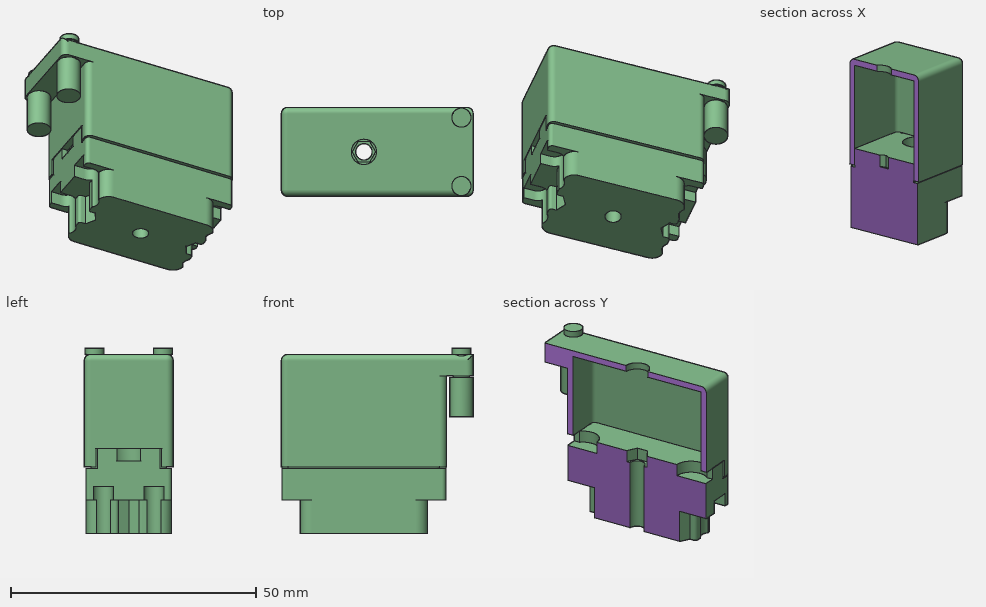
import cadquery as cq
import math


skirt_bottom = 6.8
skirt_top = 13.3
cover_bottom = 13.6
tongue_top = 17.3
cover_top = 36.5
flange_bottom = 32.1
total_height = 37.77

cover_length = 33.68
cover_width = 18.16
total_length = 39.12
cover_round = 1.3
cover_wall = 1.39
access_hole_diameter = 5.15
end_notch_width = 13.4
flange_end = total_length - cover_length / 2

screw_head_diameter = 3.9
screw_neck_diameter = 3.4
screw_neck_gap = 0.3
screw_post_diameter = 4.84
screw_post_bottom = 23.75
screw_x = flange_end - screw_post_diameter / 2
screw_y = 6.97
post_y = (cover_width - screw_post_diameter) / 2

skirt_length = 33.45
skirt_width = 17.5
small_round = 0.8
tongue_length = cover_length - 2 * cover_wall
tongue_width = cover_width - 2 * cover_wall
end_tab_width = 12.75
plug_length = 26.0
plug_round = 2.36
skirt_end = skirt_length / 2
plug_end = plug_length / 2

hole_diameter = 3.3
hex_flats = 4.16
recess_depth = 2.5
recess_floor = tongue_top - recess_depth

pocket_mouth_width = 4.82
pocket_radius = 3.36
pocket_mouth_length = 1.3
pocket_x = skirt_end - pocket_mouth_length - math.sqrt(pocket_radius**2 - (pocket_mouth_width / 2) ** 2)

slot_width = 4.05
slot_y = 5.17
slot_center_depth = 2.29
slot_top = 9.6
slot_x = skirt_end - slot_center_depth
notch_lip_round = 0.62
notch_straight_depth = 1.5
notch_half_width = hex_flats / 2
notch_point_depth = notch_straight_depth + notch_half_width * math.tan(math.radians(30))


def block(length, width, bottom, top, x=0, y=0):
    """A box centred on (x, y) between two heights."""
    return cq.Workplane("XY", origin=(x, y, bottom)).rect(length, width).extrude(top - bottom)


def rounded_block(length, width, bottom, top, radius):
    """A centred box with its vertical edges rounded."""
    return block(length, width, bottom, top).edges("|Z").fillet(radius)


def cylinder(diameter, bottom, top, x=0, y=0):
    """A vertical cylinder between two heights."""
    return cq.Workplane("XY", origin=(x, y, bottom)).circle(diameter / 2).extrude(top - bottom)


def cover_shell():
    """The outer box with its flange, open below, with a notch low in each end wall."""
    shell = block(cover_length, cover_width, cover_bottom, cover_top)
    flange_length = flange_end + cover_length / 2
    flange_x = flange_end - flange_length / 2
    shell = shell.union(block(flange_length, cover_width, flange_bottom, cover_top, x=flange_x))
    shell = shell.edges("|Z or (>Z and (|X or <X))").fillet(cover_round)

    cavity_top = cover_top - cover_wall
    shell = shell.cut(rounded_block(tongue_length, tongue_width, cover_bottom, cavity_top, small_round))
    shell = shell.cut(block(cover_length, end_notch_width, cover_bottom, tongue_top))
    return shell.cut(cylinder(access_hole_diameter, cavity_top, cover_top))


def screw(side):
    """Head on the flange, neck through it and post below it, on the side of Y given by the sign."""
    post_top = flange_bottom - screw_neck_gap
    neck = cylinder(screw_neck_diameter, post_top, cover_top, screw_x, side * screw_y)
    head = cylinder(screw_head_diameter, cover_top, total_height, screw_x, side * screw_y)
    post = cylinder(screw_post_diameter, screw_post_bottom, post_top, screw_x, side * post_y)
    return head.union(neck).union(post)


def make_cover():
    """The cover with both screws fused to its flange."""
    cover = cover_shell()
    for side in (-1, 1):
        cover = cover.union(screw(side))
    return cover


def slot(x_side, y_side):
    """A round-ended vertical slot, open at the end and the underside of the base."""
    y = y_side * slot_y
    round_end = cylinder(slot_width, 0, slot_top, x_side * slot_x, y)
    mouth_x = x_side * (slot_x + slot_center_depth / 2)
    return round_end.union(block(slot_center_depth, slot_width, 0, slot_top, mouth_x, y))


def key_notch(x_side):
    """A pointed notch with rounded lips in the end of the plug."""
    face = x_side * plug_end
    lip_end = x_side * (plug_end - notch_lip_round)
    straight_end = x_side * (plug_end - notch_straight_depth)
    point = x_side * (plug_end - notch_point_depth)
    mouth_half_width = notch_half_width + notch_lip_round
    lip_swing = notch_lip_round * math.sqrt(0.5)
    lip_middle_x = x_side * (plug_end - notch_lip_round + lip_swing)
    lip_middle_y = mouth_half_width - lip_swing
    outline = (
        cq.Workplane("XY")
        .moveTo(face, mouth_half_width)
        .threePointArc((lip_middle_x, lip_middle_y), (lip_end, notch_half_width))
        .lineTo(straight_end, notch_half_width)
        .lineTo(point, 0)
        .lineTo(straight_end, -notch_half_width)
        .lineTo(lip_end, -notch_half_width)
        .threePointArc((lip_middle_x, -lip_middle_y), (face, -mouth_half_width))
        .close()
    )
    return outline.extrude(skirt_bottom)


def end_pocket(x_side):
    """A round pocket in the top of the tongue, reached through a narrower mouth in the end tab."""
    well = cylinder(2 * pocket_radius, recess_floor, tongue_top, x_side * pocket_x)
    mouth_length = skirt_end - pocket_x
    mouth_x = x_side * (pocket_x + mouth_length / 2)
    return well.union(block(mouth_length, pocket_mouth_width, recess_floor, tongue_top, mouth_x))


def make_base():
    """Plug, skirt, and tongue with end tabs, with their recesses cut out."""
    base = rounded_block(skirt_length, skirt_width, skirt_bottom, skirt_top, small_round)
    base = base.union(rounded_block(plug_length, skirt_width, 0, skirt_bottom, plug_round))
    base = base.union(rounded_block(tongue_length, tongue_width, skirt_top, tongue_top, small_round))
    base = base.union(block(skirt_length, end_tab_width, skirt_top, tongue_top))

    hex_corners = hex_flats / math.cos(math.radians(30))
    hex_recess = cq.Workplane("XY", origin=(0, 0, recess_floor)).polygon(6, hex_corners).extrude(recess_depth)
    base = base.cut(hex_recess).cut(cylinder(hole_diameter, 0, tongue_top))

    for x_side in (-1, 1):
        base = base.cut(key_notch(x_side)).cut(end_pocket(x_side))
        for y_side in (-1, 1):
            base = base.cut(slot(x_side, y_side))
    return base


cover = make_cover()
base = make_base()
result = cq.Compound.makeCompound([cover.solids().val(), base.solids().val()])